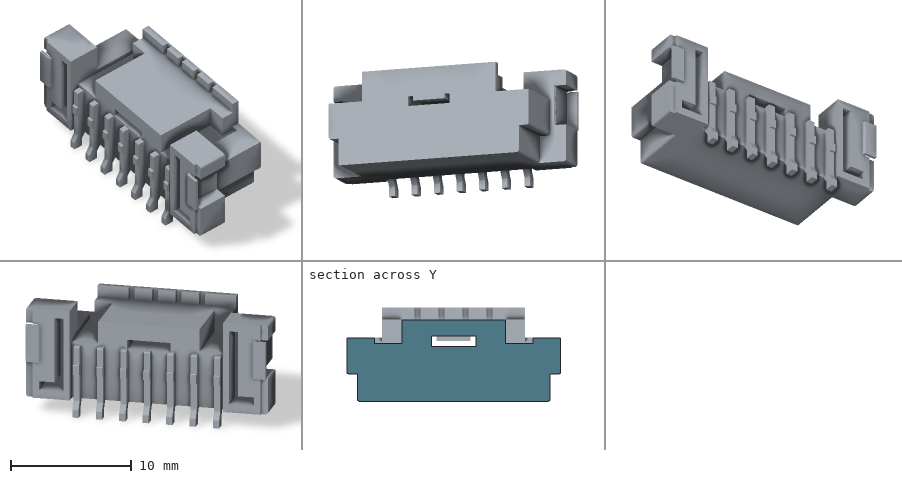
import cadquery as cq


overall_length = 20.63
overall_height = 9.16
front_limit = -8.06

housing_height = 7.78
hump_top = 6.78
platform_top = 4.84
body_front = -6.97
corner_radius = 0.2

base_half_width = 8.0
wing_half_width = 8.88
wing_bottom = 2.27
wing_top = 5.28

hump_rear_half_width = 5.92
hump_front_half_width = 4.32
hump_step_y = -1.68

ridge_thickness = 0.62
notch_floor_wall = 0.12
notch_width = 0.5
notch_positions = (-3.0, -1.0, 1.0, 3.0)

window_half_width = 1.84
window_bottom = 4.59
window_top = 5.40
latch_half_width = 1.4
latch_bottom = 5.02
latch_length = 1.0

ear_half_span = overall_length / 2
ear_inner_x = 6.55
ear_rear = -4.98
ear_front = -7.79
ear_rebate_x = 9.74
ear_rebate_depth = 0.22

slot_inner_x = 7.06
slot_stem_outer_x = 7.83
slot_foot_outer_x = 9.18
slot_bottom = 0.68
slot_foot_top = 1.48
slot_top = 7.08
slot_depth = 2.0

recess_floor_x = 9.27
recess_bottom = 3.12
recess_top = 6.46
tab_clearance = 0.05
tab_thickness = 0.31
tab_face_x = 9.3
tab_flange_thickness = 0.25
tab_bevel = 0.16
tab_rear = -5.13
tab_notch_radius = 0.2
tab_notch_spacing = 1.14
tab_outer_x = 10.24

contact_count = 7
contact_pitch = 2.0
contact_width = 0.52
contact_bottom = housing_height - overall_height
contact_top = 4.68
contact_front = -7.66
contact_tip_radius = 0.14
contact_tip_rear_chamfer = 0.12
bump_front = -7.86
bump_bottom = 2.29
bump_top = 3.13
bump_chamfer = 0.06
foot_rear = -7.25
foot_root_top = 0.3
foot_bend_top = -0.04
foot_bend_bottom = -0.7
upper_bend_radius = 0.4
lower_bend_radius = 0.16
rear_bend_rise = 0.12


def box(x_range, y_range, z_range):
    """Box spanning three (low, high) ranges."""
    size = [high - low for low, high in (x_range, y_range, z_range)]
    corner = (x_range[0], y_range[0], z_range[0])
    return cq.Workplane("XY").box(*size, centered=False).translate(corner)


def centered_box(half_width, y_range, z_range):
    """Box centred across X with the given half width."""
    return box((-half_width, half_width), y_range, z_range)


def make_body():
    """Base, wings, recessed platform and hump."""
    depth = (body_front, 0)
    base = centered_box(base_half_width, depth, (0, wing_top))
    base = base.edges("|Y and <Z").fillet(corner_radius)
    wings = centered_box(wing_half_width, depth, (wing_bottom, wing_top))
    wings = wings.edges("|Y and <Z").fillet(corner_radius)
    platform = centered_box(ear_inner_x, (body_front, -ridge_thickness), (platform_top, wing_top))
    hump_rear = centered_box(hump_rear_half_width, (hump_step_y, 0), (platform_top, hump_top))
    hump_front = centered_box(hump_front_half_width, depth, (platform_top, hump_top))
    return base.union(wings).cut(platform).union(hump_rear).union(hump_front)


def make_ridge():
    """Notched ridge along the rear edge of the hump."""
    height = (hump_top, housing_height)
    ridge = centered_box(hump_rear_half_width, (-ridge_thickness, 0), height)
    for x in notch_positions:
        notch = centered_box(notch_width / 2, (-ridge_thickness, -notch_floor_wall), height)
        ridge = ridge.cut(notch.translate((x, 0, 0)))
    return ridge


def make_window():
    """Through window less the latch bar at its rear end."""
    window = centered_box(window_half_width, (body_front, 0), (window_bottom, window_top))
    latch = centered_box(latch_half_width, (-latch_length, 0), (latch_bottom, window_top))
    return window.cut(latch)


def make_slot():
    """L-shaped blind slot in the front of the +X ear."""
    depth = (ear_front, ear_front + slot_depth)
    stem = box((slot_inner_x, slot_stem_outer_x), depth, (slot_bottom, slot_top))
    foot = box((slot_inner_x, slot_foot_outer_x), depth, (slot_bottom, slot_foot_top))
    return stem.union(foot)


def make_ear():
    """Ear on the +X side with its front rebate and side recess."""
    depth = (ear_front, ear_rear)
    ear = box((ear_inner_x, ear_half_span), depth, (0, housing_height))
    ear = ear.edges("|Y and >X").fillet(corner_radius)
    rebate_depth = (ear_front, ear_front + ear_rebate_depth)
    rebate = box((ear_rebate_x, ear_half_span), rebate_depth, (0, housing_height))
    recess = box((recess_floor_x, ear_half_span), depth, (recess_bottom, recess_top))
    return ear.cut(rebate).cut(recess)


def make_tab():
    """Bent solder tab: a plate on the recess floor turned outward at the front."""
    height = recess_top - recess_bottom - 2 * tab_clearance
    inner_x = tab_face_x - tab_thickness
    flange_rear = front_limit + tab_flange_thickness
    outline = [
        (inner_x, tab_rear),
        (tab_face_x, tab_rear),
        (tab_face_x, flange_rear),
        (tab_outer_x, flange_rear),
        (tab_outer_x, front_limit),
        (inner_x + tab_bevel, front_limit),
        (inner_x, flange_rear),
    ]
    tab = cq.Workplane("XY").polyline(outline).close().extrude(height)
    tab = tab.translate((0, 0, recess_bottom + tab_clearance))

    middle_z = (recess_bottom + recess_top) / 2
    for side in (-1, 1):
        bite = cq.Workplane("YZ", origin=(recess_floor_x, 0, 0))
        bite = bite.center(tab_rear, middle_z + side * tab_notch_spacing / 2)
        tab = tab.cut(bite.circle(tab_notch_radius).extrude(tab_face_x - recess_floor_x))
    return tab


def round_front_edge(contact, y, z, radius):
    """Fillet the contact edge that runs along X through (y, z)."""
    edge = cq.selectors.NearestToPointSelector((0, y, z))
    return contact.edges(edge).fillet(radius)


def make_contact():
    """One contact, drawn as a side profile centred on X = 0."""
    foot_shift = front_limit - contact_front
    profile = [
        (body_front, contact_top - contact_tip_rear_chamfer),
        (body_front - contact_tip_rear_chamfer, contact_top),
        (contact_front, contact_top),
        (contact_front, bump_top),
        (bump_front + bump_chamfer, bump_top),
        (bump_front, bump_top - bump_chamfer),
        (bump_front, bump_bottom),
        (contact_front, bump_bottom),
        (contact_front, foot_bend_top),
        (front_limit, foot_bend_bottom),
        (front_limit, contact_bottom),
        (foot_rear, contact_bottom),
        (foot_rear, foot_bend_bottom + rear_bend_rise),
        (foot_rear - foot_shift, foot_bend_top + rear_bend_rise),
        (foot_rear - foot_shift, foot_root_top),
        (body_front, foot_root_top),
    ]
    contact = cq.Workplane("YZ").polyline(profile).close()
    contact = contact.extrude(contact_width / 2, both=True)
    contact = round_front_edge(contact, contact_front, contact_top, contact_tip_radius)
    contact = round_front_edge(contact, contact_front, foot_bend_top, upper_bend_radius)
    return round_front_edge(contact, front_limit, foot_bend_bottom, lower_bend_radius)


result = make_body().union(make_ridge()).cut(make_window())

end_fitting = make_ear().union(make_tab())
slot = make_slot()
result = result.union(end_fitting).union(end_fitting.mirror("YZ"))
result = result.cut(slot).cut(slot.mirror("YZ"))

for index in range(contact_count):
    contact_x = (index - (contact_count - 1) / 2) * contact_pitch
    result = result.union(make_contact().translate((contact_x, 0, 0)))